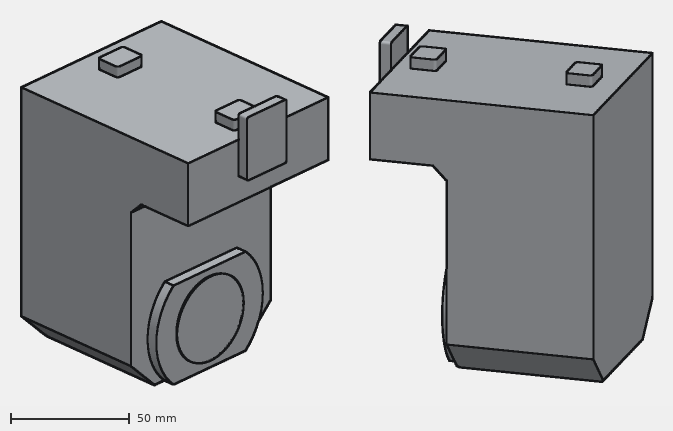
import cadquery as cq

total_height = 136.0
body_length = 98.5
body_width = 84.0
body_height = 123.8
column_length = 64.6
arm_depth = 29.8
arm_corner_chamfer = 6.1
bottom_side_chamfer = 15.1
bottom_end_chamfer = 1.0

plate_thickness = 5.0
plate_width = 24.0
plate_height = 30.0
corner_radius = 1.2

pad_length = 11.7
pad_width = 15.0
pad_height = 5.0
pad_centers_x = (17.1, 85.8)

disc_diameter = 63.9
disc_height = 47.0
disc_thickness = 5.2
disc_center_z = 24.1
face_diameter = 40.0
face_thickness = 0.5


def make_body():
    """Column with an overhanging arm and chamfered lower edges."""
    arm_bottom = body_height - arm_depth
    profile = [
        (0, 0),
        (column_length, 0),
        (column_length, arm_bottom - arm_corner_chamfer),
        (column_length + arm_corner_chamfer, arm_bottom),
        (body_length, arm_bottom),
        (body_length, body_height),
        (0, body_height),
    ]
    body = cq.Workplane("XZ").polyline(profile).close().extrude(body_width / 2, both=True)
    body = body.faces("<Z").edges("|X").chamfer(bottom_side_chamfer)
    return body.faces("<Z").edges("|Y").chamfer(bottom_end_chamfer)


def make_plate():
    """Upright plate on the end of the arm, rising above the body."""
    plate = cq.Workplane("XY").box(plate_thickness, plate_width, plate_height, centered=(False, True, False))
    plate = plate.edges("|X").fillet(corner_radius)
    return plate.translate((body_length, 0, total_height - plate_height))


def make_pad(center_x):
    """Low rectangular pad on top of the body."""
    pad = cq.Workplane("XY").box(pad_length, pad_width, pad_height, centered=(True, True, False))
    return pad.edges("|Z").fillet(corner_radius).translate((center_x, 0, body_height))


def make_disc():
    """Boss with flats above and below, carrying a raised round face, on the column's +X side."""
    base = cq.Workplane("YZ", origin=(column_length, 0, disc_center_z))
    disc = base.circle(disc_diameter / 2).extrude(disc_thickness)
    disc = disc.intersect(base.rect(disc_diameter, disc_height).extrude(disc_thickness))
    raised_face = base.workplane(offset=disc_thickness).circle(face_diameter / 2).extrude(face_thickness)
    return disc.union(raised_face)


result = make_body().union(make_plate()).union(make_disc())
for pad_x in pad_centers_x:
    result = result.union(make_pad(pad_x))